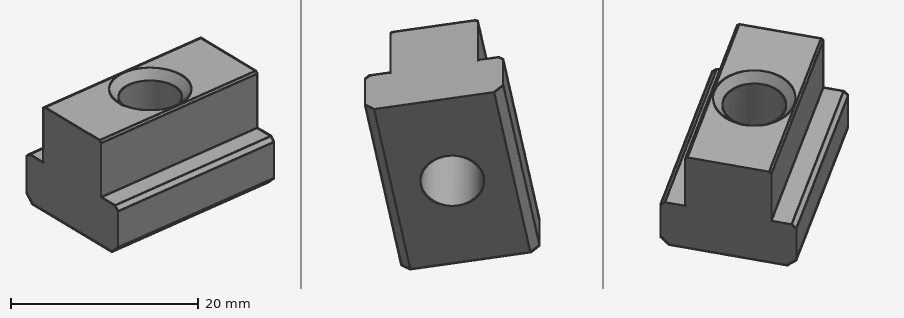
import cadquery as cq

length = 22.0
base_width = 15.0
height = 13.0

base_height = 6.0
neck_width = 9.5
bottom_chamfer = 1.0
shoulder_chamfer = 0.5
top_chamfer = 0.25

hole_diameter = 6.8
countersink_diameter = 8.8
countersink_angle = 90.0

half_base = base_width / 2
half_neck = neck_width / 2

half_section = [
    (0, 0),
    (half_base - bottom_chamfer, 0),
    (half_base, bottom_chamfer),
    (half_base, base_height - shoulder_chamfer),
    (half_base - shoulder_chamfer, base_height),
    (half_neck, base_height),
    (half_neck, height - top_chamfer),
    (half_neck - top_chamfer, height),
    (0, height),
]

body = (
    cq.Workplane("XZ")
    .polyline(half_section)
    .mirrorY()
    .extrude(length / 2, both=True)
)

result = (
    body.faces(">Z")
    .workplane(origin=(0, 0, height))
    .cskHole(hole_diameter, countersink_diameter, countersink_angle)
)